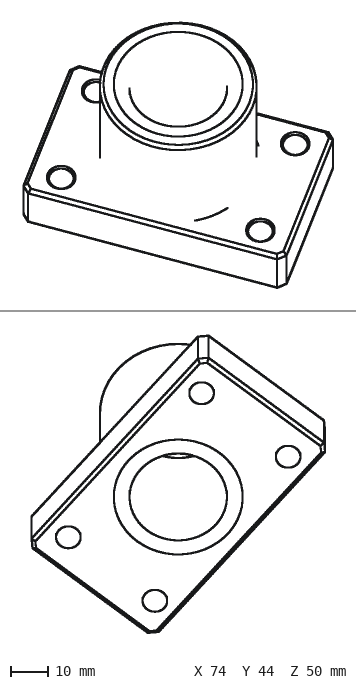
import cadquery as cq

plate_length = 74.0
plate_width = 44.0
plate_height = 15.0
corner_chamfer = 2.0
edge_chamfer = corner_chamfer / 2

total_height = 50.0
boss_diameter = 41.95
boss_radius = boss_diameter / 2
root_fillet = edge_chamfer

bushing_radius = 17.25
bore_radius = 13.0
bore_mouth_radius = 2.0

hole_diameter = 6.6
hole_chamfer = 0.5
hole_spacing_x = 56.0
hole_spacing_y = 30.0


def make_plate():
    """Rectangular plate with chamfered corners and chamfered rims."""
    return (
        cq.Workplane("XY")
        .box(plate_length, plate_width, plate_height, centered=(True, True, False))
        .edges("|Z")
        .chamfer(corner_chamfer)
        .faces("<Z or >Z")
        .edges()
        .chamfer(edge_chamfer)
    )


def make_boss():
    """Solid boss through the plate, with a chamfered top rim."""
    return cq.Workplane("XY").circle(boss_radius).extrude(total_height).faces(">Z").chamfer(edge_chamfer)


def fillet_boss_root(body):
    """Blend the boss into the top of the plate."""
    reach = boss_radius + edge_chamfer / 2
    root_zone = cq.selectors.BoxSelector(
        (-reach, -reach, plate_height - edge_chamfer / 2),
        (reach, reach, plate_height + edge_chamfer / 2),
        boundingbox=True,
    )
    return body.edges(root_zone).edges("%CIRCLE").fillet(root_fillet)


def cut_mounting_holes(body):
    """Four through holes with a countersunk top rim."""
    rim_diameter = hole_diameter + 2 * hole_chamfer
    return (
        body
        .copyWorkplane(cq.Workplane("XY", origin=(0, 0, plate_height)))
        .rarray(hole_spacing_x, hole_spacing_y, 2, 2)
        .cskHole(hole_diameter, rim_diameter, 90, plate_height)
    )


def make_housing():
    body = fillet_boss_root(make_plate().union(make_boss()))
    body = cut_mounting_holes(body)
    bushing_seat = cq.Workplane("XY").circle(bushing_radius).extrude(total_height)
    return body.cut(bushing_seat)


def make_bushing():
    """Sleeve with a rounded bore mouth at the top."""
    sleeve = cq.Workplane("XY").circle(bushing_radius).circle(bore_radius).extrude(total_height)
    bore_rim = cq.selectors.RadiusNthSelector(0)
    return sleeve.faces(">Z").edges(bore_rim).fillet(bore_mouth_radius)


housing = make_housing()
bushing = make_bushing()

result = cq.Compound.makeCompound([housing.val(), bushing.val()])